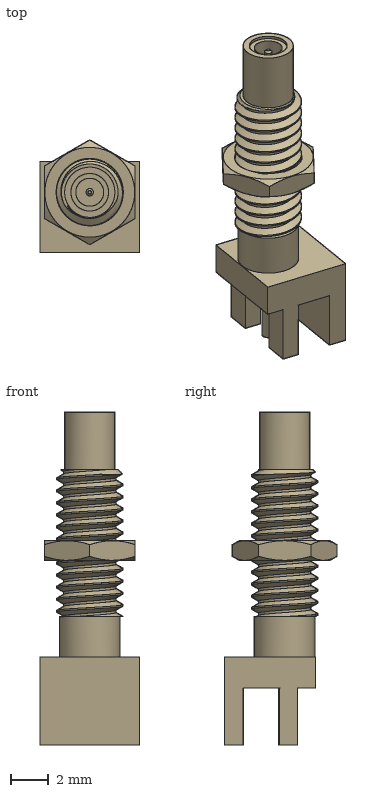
import cadquery as cq
import math

TOTAL_HEIGHT = 17.53
THREAD_TOP = 14.51
THREAD_BOTTOM = 6.77
NUT_BOTTOM = 9.71
NUT_HEIGHT = 1.07
BLOCK_TOP = 4.65
PLATE_BOTTOM = 3.0

NECK_DIAMETER = 2.65
SHANK_DIAMETER = 3.2
RIM_DIAMETER = 1.98
RIM_DEPTH = 0.14
SOCKET_DIAMETER = 1.47
SOCKET_DEPTH = 1.75
CONTACT_DIAMETER = 0.39
CONTACT_TIP_DIAMETER = 0.18
CONTACT_TIP_DEPTH = 0.26
CONTACT_TIP_LENGTH = (CONTACT_DIAMETER - CONTACT_TIP_DIAMETER) / 2
TAIL_DIAMETER = 0.67

MAJOR_DIAMETER = 3.5
ROOT_DIAMETER = 2.77
TEN_TURNS_HEIGHT = 6.35
PITCH = TEN_TURNS_HEIGHT / 10
THREAD_CHAMFER = 0.26
CREST_WIDTH = PITCH / 8
CREST_HEIGHT = 13.7
FLANK_ANGLE = math.radians(30)
ENVELOPE_CLEARANCE = 0.09
ROOT_OVERLAP = 0.04

BLOCK_WIDTH = 5.26
BLOCK_FRONT = -3.17
BLOCK_DEPTH = 4.8
FRONT_LEG_DEPTH = 1.0
REAR_LEG_BACK = 0.68
REAR_LEG_DEPTH = 0.95
REAR_LEG_WIDTH = 1.44

NUT_FLATS = 4.79
NUT_CORNERS = NUT_FLATS / math.cos(math.radians(30))
NUT_FACE_DIAMETER = 4.73
NUT_BORE_DIAMETER = 3.54
NUT_CHAMFER_ANGLE = math.radians(30)


def cylinder(diameter, bottom, top):
    return cq.Workplane("XY").workplane(offset=bottom).circle(diameter / 2).extrude(top - bottom)


def box(width, depth, x_left, y_front, bottom, top):
    corner = cq.Workplane("XY").workplane(offset=bottom).moveTo(x_left, y_front)
    return corner.rect(width, depth, centered=False).extrude(top - bottom)


def make_thread():
    """Threaded length: a core with a helical ridge, chamfered at the upper end and cut square below."""
    turns_below = math.ceil((CREST_HEIGHT - THREAD_BOTTOM) / PITCH) + 1
    start = CREST_HEIGHT - turns_below * PITCH
    helix_height = THREAD_TOP + 2 * PITCH - start

    crest_radius = MAJOR_DIAMETER / 2
    base_radius = ROOT_DIAMETER / 2 - ROOT_OVERLAP
    crest_half = CREST_WIDTH / 2
    base_half = crest_half + (crest_radius - base_radius) * math.tan(FLANK_ANGLE)

    path = cq.Wire.makeHelix(PITCH, helix_height, base_radius, center=cq.Vector(0, 0, start))
    ridge = (
        cq.Workplane("XZ")
        .moveTo(base_radius, start - base_half)
        .lineTo(crest_radius, start - crest_half)
        .lineTo(crest_radius, start + crest_half)
        .lineTo(base_radius, start + base_half)
        .close()
        .sweep(cq.Workplane(path), isFrenet=True)
    )
    envelope = cylinder(MAJOR_DIAMETER + 2 * ENVELOPE_CLEARANCE, THREAD_BOTTOM, THREAD_TOP)
    envelope = envelope.faces(">Z").chamfer(THREAD_CHAMFER + ENVELOPE_CLEARANCE)
    core = cylinder(ROOT_DIAMETER, THREAD_BOTTOM, THREAD_TOP)
    return core.union(ridge.intersect(envelope))


def make_block():
    """Mounting block with a full-width front leg and two narrow rear legs."""
    x_left = -BLOCK_WIDTH / 2
    block = box(BLOCK_WIDTH, BLOCK_DEPTH, x_left, BLOCK_FRONT, PLATE_BOTTOM, BLOCK_TOP)
    block = block.union(box(BLOCK_WIDTH, FRONT_LEG_DEPTH, x_left, BLOCK_FRONT, 0, PLATE_BOTTOM))
    rear_leg_front = REAR_LEG_BACK - REAR_LEG_DEPTH
    for leg_left in (x_left, -x_left - REAR_LEG_WIDTH):
        block = block.union(
            box(REAR_LEG_WIDTH, REAR_LEG_DEPTH, leg_left, rear_leg_front, 0, PLATE_BOTTOM)
        )
    return block


def make_contact():
    """Centre contact standing on the socket floor, with a tapered tip."""
    bottom = TOTAL_HEIGHT - SOCKET_DEPTH
    top = TOTAL_HEIGHT - CONTACT_TIP_DEPTH
    return cylinder(CONTACT_DIAMETER, bottom, top).faces(">Z").chamfer(CONTACT_TIP_LENGTH)


def make_connector():
    connector = make_block()
    connector = connector.union(cylinder(TAIL_DIAMETER, 0, PLATE_BOTTOM))
    connector = connector.union(cylinder(SHANK_DIAMETER, BLOCK_TOP, THREAD_BOTTOM))
    connector = connector.union(make_thread())
    connector = connector.union(cylinder(NECK_DIAMETER, THREAD_TOP, TOTAL_HEIGHT))
    connector = connector.cut(cylinder(RIM_DIAMETER, TOTAL_HEIGHT - RIM_DEPTH, TOTAL_HEIGHT))
    connector = connector.cut(cylinder(SOCKET_DIAMETER, TOTAL_HEIGHT - SOCKET_DEPTH, TOTAL_HEIGHT))
    return connector.union(make_contact())


def make_nut():
    """Hexagonal nut, corners on the Y axis, chamfered on both faces and bored over the thread."""
    base = cq.Workplane("XY").workplane(offset=NUT_BOTTOM)
    hexagon = base.polygon(6, NUT_CORNERS).extrude(NUT_HEIGHT).rotate((0, 0, 0), (0, 0, 1), 90)

    chamfer_width = (NUT_CORNERS - NUT_FACE_DIAMETER) / 2
    chamfer_height = chamfer_width * math.tan(NUT_CHAMFER_ANGLE)
    rounded = cylinder(NUT_CORNERS, NUT_BOTTOM, NUT_BOTTOM + NUT_HEIGHT)
    rounded = rounded.faces("<Z or >Z").chamfer(chamfer_height, chamfer_width)

    bore = cylinder(NUT_BORE_DIAMETER, NUT_BOTTOM, NUT_BOTTOM + NUT_HEIGHT)
    return hexagon.intersect(rounded).cut(bore)


connector = make_connector()
nut = make_nut()
result = cq.Compound.makeCompound([connector.val(), nut.val()])